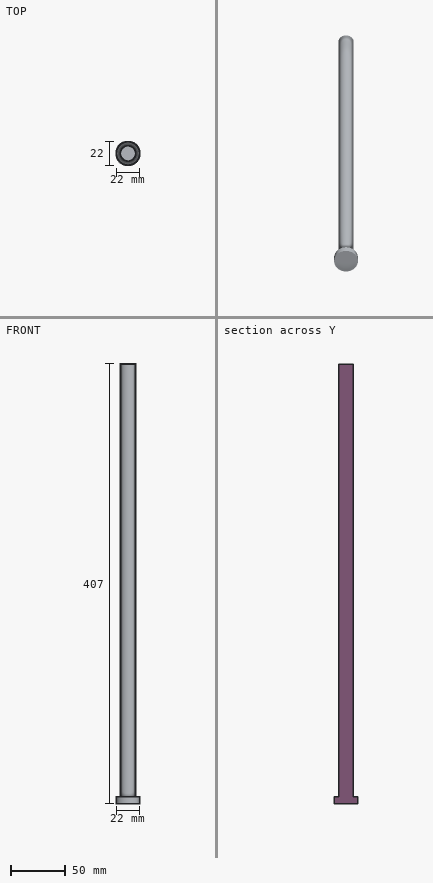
import cadquery as cq

total_length = 407.0
head_diameter = 22.0
head_height = 7.0
shaft_diameter = 14.2

head = cq.Workplane("XY").circle(head_diameter / 2).extrude(head_height)
shaft = cq.Workplane("XY").circle(shaft_diameter / 2).extrude(total_length)

result = head.union(shaft)